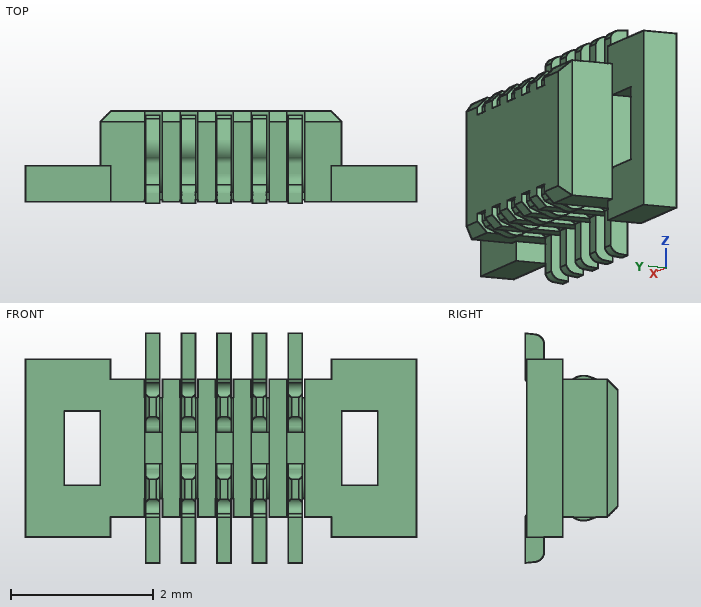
import cadquery as cq
LENGTH = 5.5
HEIGHT_Y = 1.3
TOP_Y = HEIGHT_Y / 2
TAIL_Y = -HEIGHT_Y / 2
STANDOFF = 0.02
BASE_Y = TAIL_Y + STANDOFF
FLANGE_THICKNESS = 0.51
FLANGE_WIDTH = 2.5
FLANGE_LENGTH = 1.2
BLOCK_LENGTH = 3.39
BLOCK_WIDTH = 1.94
BLOCK_HALF_WIDTH = BLOCK_WIDTH / 2
BLOCK_CHAMFER = 0.15
WINDOW_LENGTH = 0.5
WINDOW_WIDTH = 1.04
WINDOW_CENTRE = 1.95
WINDOW_FLARE = 0.12

CONTACTS_PER_ROW = 5
PITCH = 0.5
SLOT_OFFSET = 0.05
SLOT_WIDTH = 0.25
WEB_HALF_WIDTH = 0.22
WEB_RECESS = 0.03
SLOT_BACK_Z = 0.71
SLOT_ROUND = 0.25
SLOT_ROUND_Y = -0.24
POCKET_ROOF_Y = SLOT_ROUND_Y - SLOT_ROUND
DIAGONAL = 0.5 ** 0.5
SLOT_ROUND_MID = (SLOT_ROUND_Y - SLOT_ROUND * DIAGONAL, SLOT_BACK_Z - SLOT_ROUND * (1 - DIAGONAL))

CONTACT_OFFSET = 0.042
CONTACT_WIDTH = 0.2
TAIL_END_Z = 1.615
TAIL_TOP_Y = -0.385
TAIL_ROUND_DEPTH = 0.11
TAIL_ROUND_HEIGHT = 0.12
TAIL_ROUND_MID = (-0.43, 1.563)
TAIL_DRAFT = 0.015

STEM_Z = 0.9
BEND_START = (TAIL_TOP_Y, 0.965)
BEND_MID = (-0.317, 0.917)
STEM_BOTTOM_Y = SLOT_ROUND_Y
STEM_TOP_Y = -0.09
BULGE_FOOT = (0, 0.95)
BULGE_CREST = (0.16, 1.02)
LEAD_IN_START = (0.24, 1.01)
LEAD_IN_END = (0.54, 0.9)
CONTACT_TOP = (0.59, 0.82)

LIP_Y = -0.52
LIP_INNER_Z = 0.31
LIP_OUTER_Z = 0.345
LIP_ROUND_MID = (-0.511, 0.247)
FOOT_Y = -0.575
FOOT_INNER_Z = 0.44
FOOT_OUTER_Z = 0.715
FOOT_STEP_MID = (-0.537, 0.405)
FOOT_BEVEL_WIDTH = 0.05
FOOT_BEVEL_HEIGHT = 0.045
GROOVE_ROOF = (-0.52, 0.8)
GROOVE_END = (-0.62, 0.92)


def block(length, y_low, y_high, width):
    """Box centred on X = 0 and Z = 0, reaching from y_low to y_high."""
    return cq.Workplane("XY").box(length, y_high - y_low, width).translate((0, (y_low + y_high) / 2, 0))


def window():
    """Through window of the +X flange; its outer end wall flares toward the upper side."""
    inner_x = WINDOW_CENTRE - WINDOW_LENGTH / 2
    outer_x = WINDOW_CENTRE + WINDOW_LENGTH / 2
    flange_top = BASE_Y + FLANGE_THICKNESS
    outline = [
        (inner_x, BASE_Y),
        (outer_x, BASE_Y),
        (outer_x + WINDOW_FLARE, flange_top),
        (inner_x, flange_top),
    ]
    return cq.Workplane("XY").polyline(outline).close().extrude(WINDOW_WIDTH / 2, both=True)


def body():
    """Chamfered block with a windowed flange at each end."""
    core = block(BLOCK_LENGTH, BASE_Y, TOP_Y, BLOCK_WIDTH).faces(">Y").chamfer(BLOCK_CHAMFER)
    flange = block(FLANGE_LENGTH, BASE_Y, BASE_Y + FLANGE_THICKNESS, FLANGE_WIDTH)
    flange_centre = (LENGTH - FLANGE_LENGTH) / 2
    for side in (-1, 1):
        core = core.union(flange.translate((side * flange_centre, 0, 0)))
    return core.cut(window()).cut(window().mirror("YZ"))


def section(start_y, start_z):
    """Start an outline in the YZ plane; its points are (y, z)."""
    return cq.Workplane("YZ").moveTo(start_y, start_z)


def slot():
    """Slot for one contact on the +Z side, open below, outward and above."""
    outline = (
        section(BASE_Y, WEB_HALF_WIDTH)
        .lineTo(POCKET_ROOF_Y, WEB_HALF_WIDTH)
        .lineTo(POCKET_ROOF_Y, SLOT_BACK_Z - SLOT_ROUND)
        .threePointArc(SLOT_ROUND_MID, (SLOT_ROUND_Y, SLOT_BACK_Z))
        .lineTo(TOP_Y, SLOT_BACK_Z)
        .lineTo(TOP_Y, BLOCK_HALF_WIDTH)
        .lineTo(BASE_Y, BLOCK_HALF_WIDTH)
        .close()
    )
    return outline.extrude(SLOT_WIDTH / 2, both=True)


def web_recess():
    """Shallow step across the web between two opposite slots."""
    return block(SLOT_WIDTH, BASE_Y, BASE_Y + WEB_RECESS, 2 * WEB_HALF_WIDTH)


def foot_bevel():
    """Wedge that bevels the +X long edge of the contact foot."""
    half = CONTACT_WIDTH / 2
    return (
        cq.Workplane("XY", origin=(0, 0, LIP_OUTER_Z))
        .moveTo(half - FOOT_BEVEL_WIDTH, FOOT_Y)
        .lineTo(half, FOOT_Y)
        .lineTo(half, FOOT_Y + FOOT_BEVEL_HEIGHT)
        .close()
        .extrude(GROOVE_ROOF[1] - LIP_OUTER_Z)
    )


def contact():
    """One contact on the +Z side: tail, stem with spring bulge, foot and inner lip."""
    outline = (
        section(TAIL_Y, BLOCK_HALF_WIDTH)
        .lineTo(TAIL_Y, TAIL_END_Z)
        .lineTo(TAIL_TOP_Y - TAIL_ROUND_HEIGHT, TAIL_END_Z - TAIL_DRAFT)
        .threePointArc(TAIL_ROUND_MID, (TAIL_TOP_Y, TAIL_END_Z - TAIL_DRAFT - TAIL_ROUND_DEPTH))
        .lineTo(*BEND_START)
        .threePointArc(BEND_MID, (STEM_BOTTOM_Y, STEM_Z))
        .lineTo(STEM_TOP_Y, STEM_Z)
        .tangentArcPoint(BULGE_FOOT, relative=False)
        .threePointArc(BULGE_CREST, LEAD_IN_START)
        .lineTo(*LEAD_IN_END)
        .lineTo(*CONTACT_TOP)
        .lineTo(CONTACT_TOP[0], SLOT_BACK_Z)
        .lineTo(SLOT_ROUND_Y, SLOT_BACK_Z)
        .threePointArc(SLOT_ROUND_MID, (POCKET_ROOF_Y, SLOT_BACK_Z - SLOT_ROUND))
        .lineTo(POCKET_ROOF_Y, WEB_HALF_WIDTH)
        .threePointArc(LIP_ROUND_MID, (LIP_Y, LIP_INNER_Z))
        .lineTo(LIP_Y, LIP_OUTER_Z)
        .threePointArc(FOOT_STEP_MID, (FOOT_Y, FOOT_INNER_Z))
        .lineTo(FOOT_Y, FOOT_OUTER_Z)
        .threePointArc(GROOVE_ROOF, GROOVE_END)
        .close()
    )
    bevel = foot_bevel()
    return outline.extrude(CONTACT_WIDTH / 2, both=True).cut(bevel).cut(bevel.mirror("YZ"))


def row_positions(offset):
    """X places of the contacts in a row whose middle sits at the given offset."""
    first = offset - PITCH * (CONTACTS_PER_ROW - 1) / 2
    return [first + i * PITCH for i in range(CONTACTS_PER_ROW)]


def with_opposite(shape):
    """A +Z side shape together with its mirror image on the -Z side."""
    return shape.union(shape.mirror("XY"))


result = body()
slot_pair = with_opposite(slot()).union(web_recess())
for x in row_positions(SLOT_OFFSET):
    result = result.cut(slot_pair.translate((x, 0, 0)))
contact_pair = with_opposite(contact())
for x in row_positions(CONTACT_OFFSET):
    result = result.union(contact_pair.translate((x, 0, 0)))